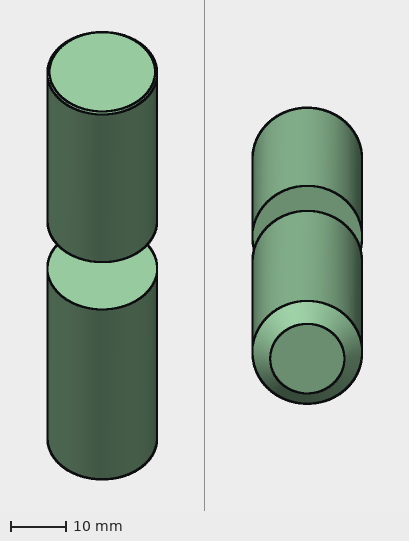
import cadquery as cq

diameter = 20.0
lower_length = 50.0
gap = 13.0
upper_length = 41.0
tip_chamfer = 3.25
top_chamfer = 0.4

radius = diameter / 2
upper_base = lower_length + gap


def make_lower_pin():
    """Round pin standing on a bevelled lower tip, with a plain flat top."""
    pin = cq.Workplane("XY").circle(radius).extrude(lower_length)
    return pin.faces("<Z").chamfer(tip_chamfer)


def make_upper_pin():
    """Round pin above the gap, with its top edge lightly broken."""
    pin = cq.Workplane("XY").workplane(offset=upper_base).circle(radius).extrude(upper_length)
    return pin.faces(">Z").chamfer(top_chamfer)


lower_pin = make_lower_pin()
upper_pin = make_upper_pin()

result = cq.Compound.makeCompound([lower_pin.val(), upper_pin.val()])